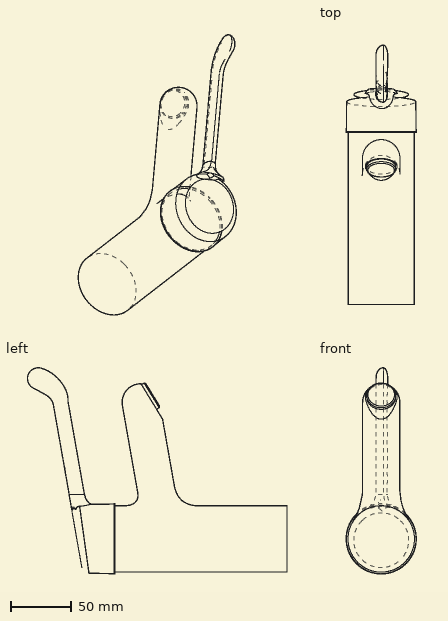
import cadquery as cq
import math


body_radius = 55.0 / 2
body_length = 142.4
rim_radius = 58.23 / 2
rim_width = 1.0
cap_radius = 29.0
cap_end_radius = 28.4
cap_end_y = 190.0
tilt = 10.0
cap_face_y = 174.0
cap_edge_radius = 6.0

spout_radius = 31.0 / 2
spout_base_y = 101.2
spout_length = 114.7
outlet_slant = 31.5
outlet_y = 114.2
outlet_z = 117.4
outlet_radius = 12.0
outlet_height = 3.5
outlet_chamfer = 1.0

root_top = 42.5
root_half_width = 23.5
root_half_length = 31.0
root_y = 104.0

flare_sink = 0.05
flare_steps = 8
flare_spans = 48
flare_tolerance = 1e-3

lever_ridge_x = 1.7
lever_left = 6.2
lever_right = 3.3
lever_half_depth = 6.3
lever_inset = 0.1
lever_foot_z = 20.0
lever_bend_z = 112.5

lever_root_z = 36.8
lever_root_half_width = 13.8
lever_root_front_reach = 15.0
lever_root_back_reach = 9.0
lever_root_ledge = 0.15
lever_root_radius = 27.8

elbow_y = 189.8
elbow_z = 120.4
elbow_angle = 36.0
elbow_half_depth = 7.5
neck_length = 9.0
neck_half_depth = 9.0
head_radius = 9.0
head_right = 3.8
head_y = 205.86
head_z = 132.67
head_angle = 62.0

lean = math.tan(math.radians(tilt))
lean_dir = cq.Vector(0, math.sin(math.radians(tilt)), math.cos(math.radians(tilt)))


def tilted_plane(y, z, angle):
    """Plane whose normal leans from +Z towards +Y, with its x axis along X."""
    rad = math.radians(angle)
    return cq.Plane(origin=(0, y, z), xDir=(1, 0, 0), normal=(0, math.sin(rad), math.cos(rad)))


def make_body():
    return cq.Workplane("XZ").circle(body_radius).extrude(-body_length - rim_width)


def beyond_end_face():
    """Block that takes away everything beyond the slanted end face of the cap."""
    rad = math.radians(tilt)
    plane = cq.Plane(
        origin=(0, cap_face_y, 0),
        xDir=(1, 0, 0),
        normal=(0, math.cos(rad), -math.sin(rad)),
    )
    size = 4 * rim_radius
    return cq.Workplane(plane).rect(size, size).extrude(size)


def make_cap():
    cone_start = body_length + rim_width
    profile = [
        (0, body_length),
        (rim_radius, body_length),
        (rim_radius, cone_start),
        (cap_radius, cone_start),
        (cap_end_radius, cap_end_y),
        (0, cap_end_y),
    ]
    cap = cq.Workplane("XY").polyline(profile).close().revolve(360, (0, 0, 0), (0, 1, 0))
    cap = cap.cut(beyond_end_face())
    return cap.faces(">Y").edges().fillet(cap_edge_radius)


def outlet_plane():
    rad = math.radians(outlet_slant)
    normal = (0, -math.cos(rad), math.sin(rad))
    return cq.Plane(origin=(0, outlet_y, outlet_z), xDir=(1, 0, 0), normal=normal)


def make_spout():
    """Leaning round spout with a domed end, a slanted flat and the outlet disc on it."""
    start = tilted_plane(spout_base_y, 0, tilt)
    tube = cq.Workplane(start).circle(spout_radius).extrude(spout_length)
    dome_centre = start.toWorldCoords((0, 0, spout_length)).toTuple()
    dome = cq.Workplane("XY").sphere(spout_radius).translate(dome_centre)
    spout = tube.union(dome)
    cutter_size = 4 * spout_radius
    spout = spout.cut(
        cq.Workplane(outlet_plane()).rect(cutter_size, cutter_size).extrude(cutter_size)
    )
    disc = (
        cq.Workplane(outlet_plane())
        .workplane(offset=-outlet_height)
        .circle(outlet_radius)
        .extrude(2 * outlet_height)
    )
    face_side = cq.selectors.DirectionMinMaxSelector(outlet_plane().zDir)
    disc = disc.faces(face_side).edges().chamfer(outlet_chamfer)
    return spout.union(disc)


def flare_point(top, foot_x, foot_y, direction, surface_radius, t):
    """Point of a concave curve that leaves `top` along `direction` (t = 0)
    and touches a cylinder about the Y axis at the foot (t = 1)."""
    sunk_radius = surface_radius - flare_sink
    foot = cq.Vector(foot_x, foot_y, math.sqrt(sunk_radius**2 - foot_x**2))
    corner_z = (sunk_radius**2 - top.x * foot.x) / foot.z
    corner = top + direction * ((corner_z - top.z) / direction.z)
    return top * (1 - t) ** 2 + corner * (2 * t * (1 - t)) + foot * t**2


def make_flare(top_at, foot_at, surface_radius):
    """Solid flare; top_at and foot_at give its upper and lower edge around the axis."""
    grid = []
    for i in range(flare_spans + 1):
        angle = math.pi * (2 * i / flare_spans - 1)
        top = top_at(angle)
        foot_x, foot_y = foot_at(angle)
        steps = [j / flare_steps for j in range(flare_steps + 1)]
        grid.append([flare_point(top, foot_x, foot_y, lean_dir, surface_radius, t) for t in steps])
    side = cq.Face.makeSplineApprox(grid, tol=flare_tolerance)
    rims = [edge for edge in side.Edges() if edge.IsClosed()]
    ends = [cq.Face.makeNSidedSurface([rim], []) for rim in rims]
    return cq.Workplane(obj=cq.Solid.makeSolid(cq.Shell.makeShell([side, *ends])))


def spout_root_top(angle):
    spout_start = tilted_plane(spout_base_y, 0, tilt)
    radius = spout_radius - flare_sink
    return spout_start.toWorldCoords((radius * math.sin(angle), radius * math.cos(angle), root_top))


def spout_root_foot(angle):
    return root_half_width * math.sin(angle), root_y + root_half_length * math.cos(angle)


def make_spout_root():
    return make_flare(spout_root_top, spout_root_foot, body_radius)


def lever_section(y, z, angle, half_depth, right=lever_right):
    """Egg-shaped closed wire made of two half ellipses that meet on the ridge line."""
    plane = tilted_plane(y, z, angle)
    sketch = (
        cq.Workplane(plane)
        .moveTo(lever_ridge_x, -half_depth)
        .ellipseArc(right, half_depth, -90, 90, startAtCurrent=True)
        .ellipseArc(lever_left, half_depth, 90, 270, startAtCurrent=True)
        .close()
    )
    return sketch.val()


def end_face_y(z):
    return cap_face_y + z * lean


def lever_axis_y(z):
    return end_face_y(z) - (lever_half_depth + lever_inset) / math.cos(math.radians(tilt))


def make_lever():
    """Straight stem, bent crook and rounded head."""
    foot = lever_section(lever_axis_y(lever_foot_z), lever_foot_z, tilt, lever_half_depth)
    bend = lever_section(lever_axis_y(lever_bend_z), lever_bend_z, tilt, lever_half_depth)
    elbow = lever_section(elbow_y, elbow_z, elbow_angle, elbow_half_depth)
    rad = math.radians(head_angle)
    neck = lever_section(
        head_y - neck_length * math.sin(rad),
        head_z - neck_length * math.cos(rad),
        head_angle,
        neck_half_depth,
        head_right,
    )
    head = lever_section(head_y, head_z, head_angle, head_radius, head_right)
    stem = cq.Solid.makeLoft([foot, bend], True)
    crook = cq.Solid.makeLoft([bend, elbow, neck, head])
    return cq.Workplane(obj=stem).union(cq.Workplane(obj=crook)).union(make_head())


def make_head():
    """Rounded tip: half the head section turned about its own line along X."""
    profile = (
        cq.Workplane(tilted_plane(head_y, head_z, head_angle))
        .moveTo(lever_ridge_x - lever_left, 0)
        .ellipseArc(lever_left, head_radius, 90, 180, sense=-1, startAtCurrent=True)
        .ellipseArc(head_right, head_radius, 0, 90, sense=-1, startAtCurrent=True)
        .close()
    )
    return profile.revolve(180, (0, 0, 0), (1, 0, 0))


def lever_root_top(angle):
    reach = lever_right if math.sin(angle) > 0 else lever_left
    half_y = lever_half_depth / math.cos(math.radians(tilt)) + lever_root_ledge
    x = lever_ridge_x + (reach + lever_root_ledge) * math.sin(angle)
    return cq.Vector(x, lever_axis_y(lever_root_z) + half_y * math.cos(angle), lever_root_z)


def lever_root_foot(angle):
    middle_y = lever_axis_y(lever_root_radius)
    reach = lever_root_back_reach if math.cos(angle) > 0 else lever_root_front_reach
    return lever_root_half_width * math.sin(angle), middle_y + reach * math.cos(angle)


def make_lever_root():
    root = make_flare(lever_root_top, lever_root_foot, lever_root_radius)
    return root.cut(beyond_end_face())


handle = make_lever().union(make_lever_root()).union(make_cap())
base = make_body().union(make_spout_root()).union(make_spout())
result = base.union(handle)